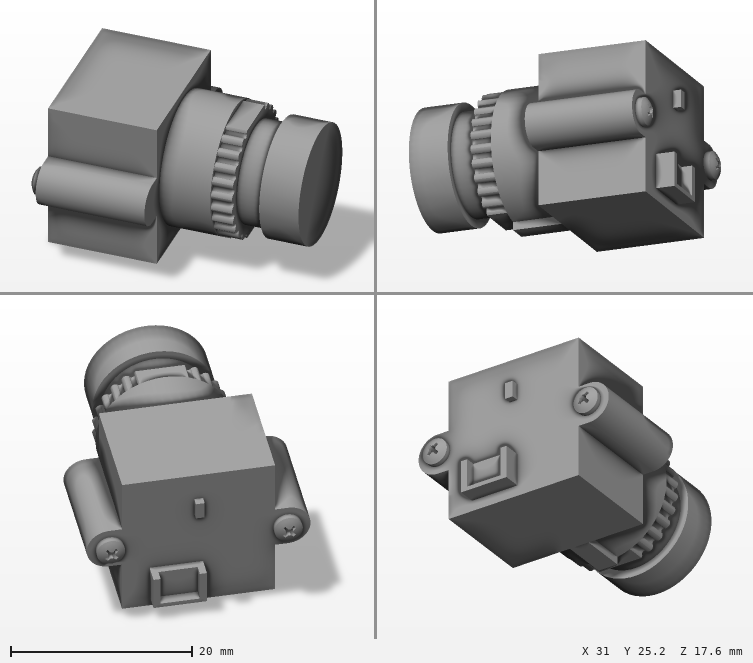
import cadquery as cq
import math


socket_depth = 1.25
connector_length = 2.17
housing_length = 12.77
holder_length = 5.98
ring_length = 2.48
neck_length = 2.98
housing_back = connector_length
housing_front = housing_back + housing_length
holder_front = housing_front + holder_length
ring_front = holder_front + ring_length
neck_front = ring_front + neck_length
lens_front = 31.0

housing_width = 17.25
housing_height = 17.6
overall_width = 25.2
lug_diameter = 5.02

holder_diameter = 15.55
foot_width = 2.48
foot_bottom = -8.62

connector_width = 6.0
connector_height = 4.0
connector_right = -0.5
connector_top = -3.47
connector_side_wall = 0.8
connector_floor = 0.5
lamp_length = 0.93
lamp_width = 1.0
lamp_height = 2.0
lamp_bottom = 3.47

tooth_count = 28
tip_radius = 7.7
flank_radius = 7.35
root_radius = 7.0
tooth_half_angle = 4.0
tooth_side_radius = 0.68
ring_across_flats = 14.15
flat_fill_width = 4.95

neck_diameter = 12.0
lens_diameter = 14.0

head_diameter = 3.2
head_rim = 0.68
head_height = 1.27
screw_pitch = 20.0
recess_depth = 0.93
recess_center_diameter = 0.87
arm_depth = 0.68
arm_span = 1.98
arm_width = 0.4


def section_at(x):
    """Sketch plane across the optical axis: local x is Y, local y is Z, extrusion runs to +X."""
    return cq.Workplane("YZ", origin=(x, 0, 0))


def corner_box(x, y, z, length, width, height):
    """Box that grows from its lowest corner."""
    return cq.Workplane("XY").box(length, width, height, centered=False).translate((x, y, z))


def make_holder():
    barrel = section_at(housing_front).circle(holder_diameter / 2).extrude(holder_length)
    foot = corner_box(housing_front, -foot_width / 2, foot_bottom, holder_length, foot_width, -foot_bottom)
    return barrel.union(foot)


def make_connector():
    shell = corner_box(
        0, connector_right, connector_top - connector_height,
        connector_length, connector_width, connector_height,
    )
    socket = corner_box(
        0, connector_right + connector_side_wall, connector_top - connector_height + connector_floor,
        socket_depth, connector_width - 2 * connector_side_wall, connector_height - connector_floor,
    )
    return shell.cut(socket)


def make_housing():
    block = section_at(housing_back).rect(housing_width, housing_height).extrude(housing_length)
    lugs = section_at(housing_back).slot2D(overall_width, lug_diameter).extrude(housing_length)
    lamp = corner_box(
        housing_back - lamp_length, -lamp_width / 2, lamp_bottom,
        lamp_length, lamp_width, lamp_height,
    )
    return block.union(lugs).union(make_holder()).union(make_connector()).union(lamp)


def polar(radius, degrees):
    """Point at a distance from the ring axis and at an angle from the Y axis."""
    angle = math.radians(degrees)
    return (radius * math.cos(angle), radius * math.sin(angle))


def make_lock_ring():
    pitch = 360 / tooth_count
    first_tooth = pitch / 2
    profile = section_at(holder_front).moveTo(*polar(flank_radius, first_tooth - tooth_half_angle))
    for tooth in range(tooth_count):
        middle = first_tooth + tooth * pitch
        upper_flank = polar(flank_radius, middle + tooth_half_angle)
        crest = polar(tip_radius, middle)
        root = polar(root_radius, middle + pitch / 2)
        next_flank = polar(flank_radius, middle + pitch - tooth_half_angle)
        profile = (
            profile
            .radiusArc(crest, -tooth_side_radius)
            .radiusArc(upper_flank, -tooth_side_radius)
            .threePointArc(root, next_flank)
        )
    toothed_disc = profile.close().extrude(ring_length)
    between_flats = section_at(holder_front).rect(3 * tip_radius, ring_across_flats).extrude(ring_length)
    flat_fill = section_at(holder_front).rect(flat_fill_width, ring_across_flats).extrude(ring_length)
    bore = section_at(holder_front).circle(neck_diameter / 2).extrude(ring_length)
    return toothed_disc.intersect(between_flats).union(flat_fill).cut(bore)


def make_lens():
    neck = section_at(holder_front).circle(neck_diameter / 2).extrude(neck_front - holder_front)
    head = section_at(neck_front).circle(lens_diameter / 2).extrude(lens_front - neck_front)
    return neck.union(head)


def make_cross_recess():
    """Cross with sloping arm ends and a drilled centre, for a head seated on z = 0."""
    center_radius = recess_center_diameter / 2
    arm_bottom = head_height - arm_depth
    cross = (
        cq.Workplane("XZ")
        .polyline([
            (0, head_height - recess_depth),
            (center_radius, arm_bottom),
            (center_radius, head_height),
            (0, head_height),
        ])
        .close()
        .revolve(360, (0, 0), (0, 1))
    )
    for turn in (45, 135):
        arm = (
            cq.Workplane("XZ")
            .polyline([
                (-arm_span / 2, head_height),
                (-center_radius, arm_bottom),
                (center_radius, arm_bottom),
                (arm_span / 2, head_height),
            ])
            .close()
            .extrude(arm_width / 2, both=True)
        )
        cross = cross.union(arm.rotate((0, 0, 0), (0, 0, 1), turn))
    return cross


def make_screw(y):
    head_radius = head_diameter / 2
    dome_height = head_height - head_rim
    dome_radius = (head_radius ** 2 + dome_height ** 2) / (2 * dome_height)
    head = (
        cq.Workplane("XZ")
        .lineTo(head_radius, 0)
        .lineTo(head_radius, head_rim)
        .radiusArc((0, head_height), -dome_radius)
        .close()
        .revolve(360, (0, 0), (0, 1))
    )
    screw = head.cut(make_cross_recess())
    return screw.rotate((0, 0, 0), (0, 1, 0), -90).translate((housing_back, y, 0))


housing = make_housing()
lock_ring = make_lock_ring()
lens = make_lens()
screws = [make_screw(side * screw_pitch / 2) for side in (-1, 1)]

result = cq.Compound.makeCompound([
    housing.val(),
    lock_ring.val(),
    lens.val(),
    *[screw.val() for screw in screws],
])